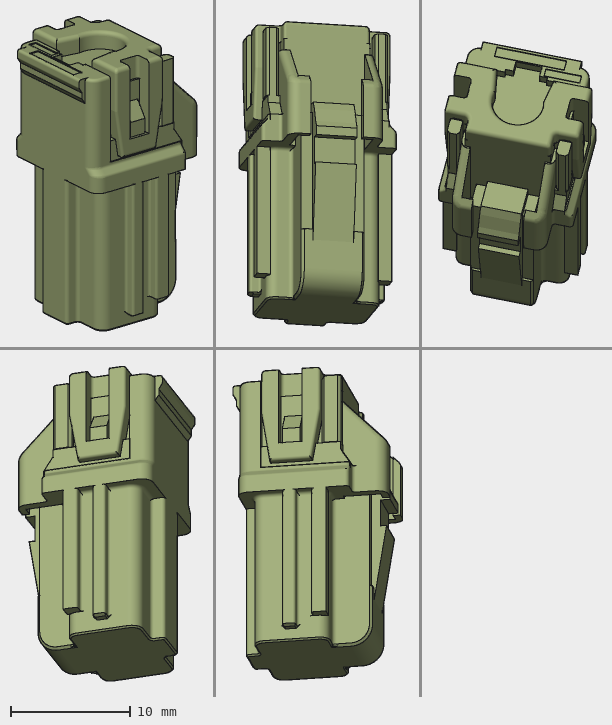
import cadquery as cq

TOTAL_HEIGHT = 23.95
COLLAR_BOTTOM = 13.12
COLLAR_TOP = 14.59
FLARE_TOP = 15.47
FLARE_FILLET = 0.29
SKIRT_BOTTOM = 15.8
SHOULDER_SLOPE_TOP = 16.7
SHOULDER_TOP = 17.35
SKIRT_TAPER_TOP = 20.12
FLOOR_TOP = 22.4
LEDGE_TOP = 23.23

COLLAR_HALF = 5.8
LEDGE_HALF = 5.22
SHOULDER_HALF = 5.1
UPPER_HALF = 4.5
LOWER_HALF = 4.85
NECK_HALF = 3.7
ARM_HALF = 2.7

LEDGE_BACK = 1.95
CAP_FRONT = 2.1
CAP_BACK = 7.14
NECK_BACK = 8.62
SHOULDER_BACK = 8.77
COLLAR_BACK = 9.58
COLLAR_REAR_FILLET = 0.3

LOWER_FRONT = 1.2
LOWER_BACK = 7.65
FRONT_CORNER = 1.0
REAR_CORNER = 0.86
BOTTOM_CHAMFER = 0.15
UNDERSIDE_FILLET = 0.3
CENTER_RIB_HALF = 1.75
RIB_BLEND = 0.3

SIDE_RIB_BLEND = 0.22
SLIM_RIB_FRONT = 3.9
SLIM_RIB_BACK = 5.03
SLIM_RIB_BOTTOM = 1.05
SLIM_RIB_TIP = 0.34
WIDE_RIB_FRONT = 6.37
WIDE_RIB_BOTTOM = 2.08

ARM_BACK = 10.97
ARM_BOTTOM_RADIUS = 1.82
ARM_EDGE_CHAMFER = 0.22
ARM_ROOT_RADIUS = 0.35
ARM_BEND_TOP = 5.27
TOOTH_HALF = 1.75
TOOTH_TIP = 12.02
TOOTH_TOP = 10.83
TOOTH_BOTTOM = 4.3
STEM_BACK = 11.52
THUMB_BACK = 12.33
THUMB_FRONT = 11.1
THUMB_EDGE_TOP = 13.9
THUMB_BEND_TOP = 14.37
THUMB_STEM_TOP = 15.57
THUMB_TOP = 16.29

GUARD_HALF = 4.07
GUARD_WALL = 0.86
GUARD_BACK = 12.43
GUARD_HOOK = 0.62
GUARD_OPENING_HALF = 2.25
GUARD_SLOPE_TOP = 21.36
GUARD_CORNER = 0.93
GUARD_SLOPE_FILLET = 0.57
GUARD_ROOT_RADIUS = 0.29

POST_INNER = 4.15
POST_CHAMFER = 0.25

CAP_EDGE_FILLET = 0.38
SKIRT_LOWER_FRONT = 2.8
SKIRT_LOWER_BACK = 6.37
SKIRT_EDGE_FILLET = 0.25
CAP_INNER_FILLET = 0.38
KEYHOLE_RADIUS = 2.15
KEYHOLE_Y = 4.85
KEYHOLE_NECK_HALF = 2.08
KEYHOLE_NECK_Y = 4.3
KEYHOLE_MOUTH_HALF = 2.45

NOTCH_FRONT = 3.57
NOTCH_BACK = 5.58
NOTCH_FLOOR_X = 4.26
NOTCH_BOTTOM = 21.91
NOTCH_CORNER = 0.29
LOCK_FRONT = 3.85
LOCK_BACK = 5.36
LOCK_TIP_X = 5.5
LOCK_SLOPE_BOTTOM = 18.68

LEDGE_EDGE_FILLET = 0.29
LIP_HALF = 4.25
LIP_FRONT = -0.62
LIP_STEP = -0.3
LIP_NOSE_FILLET = 0.25
LIP_NOSE_BOTTOM = 22.47
LIP_STEP_TOP = 21.99
LIP_STEP_BOTTOM = 21.44
LIP_BOTTOM = 20.95
LEDGE_NOTCH_HALF = 1.13
LEDGE_NOTCH_FRONT = 0.77
LEDGE_STEP_HALF = 1.8
LEDGE_STEP_FRONT = 1.68
RECESS_DEPTH = 0.1
WIDE_RECESS_HALF = 3.0
WIDE_RECESS_FRONT = -0.29
WIDE_RECESS_BACK = 0.62
SMALL_RECESS_LEFT = -4.55
SMALL_RECESS_RIGHT = -1.48
SMALL_RECESS_FRONT = 0.86
SMALL_RECESS_BACK = 1.55

PICK = 0.02
MARGIN = 0.25


def block(x0, x1, y0, y1, z0, z1):
    """Box between two opposite corners."""
    return cq.Workplane("XY").box(x1 - x0, y1 - y0, z1 - z0, centered=False).translate((x0, y0, z0))


def centered_block(half, y0, y1, z0, z1):
    """Box symmetric about X = 0."""
    return block(-half, half, y0, y1, z0, z1)


def side_profile(points, x0, x1):
    """Closed (Y, Z) outline extruded from x0 to x1."""
    return cq.Workplane("YZ", origin=(x0, 0, 0)).polyline(points).close().extrude(x1 - x0)


def both_sides(solid):
    """The solid together with its mirror image across X = 0."""
    return solid.union(solid.mirror("YZ"))


def rib_plan(start, end, base, crest, blend):
    """Closed plan of a rib that runs along Y and rises along X, with rounded crests and concave roots."""
    foot = base - blend
    return (
        cq.Workplane("XY")
        .moveTo(foot, start - blend)
        .lineTo(base, start - blend)
        .radiusArc((base + blend, start), blend)
        .lineTo(crest - blend, start)
        .radiusArc((crest, start + blend), -blend)
        .lineTo(crest, end - blend)
        .radiusArc((crest - blend, end), -blend)
        .lineTo(base + blend, end)
        .radiusArc((base, end + blend), blend)
        .lineTo(foot, end + blend)
        .close()
    )


def lower_body():
    body = centered_block(LOWER_HALF, LOWER_FRONT, LOWER_BACK, 0, COLLAR_TOP)
    body = body.edges("|Z and <Y").fillet(FRONT_CORNER)
    body = body.edges("|Z and >Y").fillet(REAR_CORNER)
    reach = UNDERSIDE_FILLET + MARGIN
    body = body.union(
        centered_block(
            LOWER_HALF + reach, LOWER_FRONT - reach, LOWER_BACK + reach, COLLAR_BOTTOM, COLLAR_TOP
        )
    )
    meeting_edges = cq.selectors.BoxSelector(
        (-LOWER_HALF - PICK, LOWER_FRONT - PICK, COLLAR_BOTTOM - PICK),
        (LOWER_HALF + PICK, LOWER_BACK + PICK, COLLAR_BOTTOM + PICK),
        boundingbox=True,
    )
    body = body.edges(meeting_edges).fillet(UNDERSIDE_FILLET)
    rib = rib_plan(-CENTER_RIB_HALF, CENTER_RIB_HALF, -LOWER_FRONT, 0, RIB_BLEND).extrude(COLLAR_TOP)
    body = body.union(rib.rotate((0, 0, 0), (0, 0, 1), -90))
    return body.faces("<Z").chamfer(BOTTOM_CHAMFER)


def side_rib_plan(front, back):
    return rib_plan(front, back, LOWER_HALF, COLLAR_HALF, SIDE_RIB_BLEND)


def slim_ribs():
    rib = side_rib_plan(SLIM_RIB_FRONT, SLIM_RIB_BACK).extrude(COLLAR_BOTTOM)
    tip_start = SLIM_RIB_BOTTOM + SLIM_RIB_TIP
    front = SLIM_RIB_FRONT - SIDE_RIB_BLEND
    back = SLIM_RIB_BACK + SIDE_RIB_BLEND
    pointed = side_profile(
        [
            (front, COLLAR_BOTTOM),
            (front, tip_start),
            (front + SLIM_RIB_TIP, SLIM_RIB_BOTTOM),
            (back - SLIM_RIB_TIP, SLIM_RIB_BOTTOM),
            (back, tip_start),
            (back, COLLAR_BOTTOM),
        ],
        0,
        COLLAR_HALF,
    )
    pointed = pointed.edges("|Y and <Z and >X").chamfer(SLIM_RIB_TIP, SLIM_RIB_TIP / 2)
    return both_sides(rib.intersect(pointed))


def wide_ribs():
    """Ribs whose backs are flush with the back of the lower body."""
    rib = side_rib_plan(WIDE_RIB_FRONT, LOWER_BACK + SIDE_RIB_BLEND).extrude(COLLAR_BOTTOM)
    kept = block(0, COLLAR_HALF, LOWER_FRONT, LOWER_BACK, WIDE_RIB_BOTTOM, COLLAR_BOTTOM)
    return both_sides(rib.intersect(kept))


def concave_root(x, y, radius, z0, z1):
    """Filler of an inner corner open toward +X and +Y, on both sides."""
    filler = block(x, x + radius, y, y + radius, z0, z1)
    round_cut = cq.Workplane("XY", origin=(x + radius, y + radius, z0)).circle(radius).extrude(z1 - z0)
    return both_sides(filler.cut(round_cut))


def latch_arm():
    bend = centered_block(ARM_HALF, LEDGE_BACK, ARM_BACK, 0, ARM_BEND_TOP)
    bend = bend.edges("|X and >Y and <Z").fillet(ARM_BOTTOM_RADIUS)
    for side in ("<X", ">X"):
        bend = bend.faces(side).edges("not >Z").edges("not <Y").chamfer(ARM_EDGE_CHAMFER)
    upper_back = ARM_BACK - ARM_EDGE_CHAMFER
    arm = bend.union(centered_block(ARM_HALF, LEDGE_BACK, upper_back, ARM_BEND_TOP, FLARE_TOP))
    tooth = side_profile(
        [
            (LEDGE_BACK, TOOTH_BOTTOM),
            (ARM_BACK, TOOTH_BOTTOM),
            (TOOTH_TIP, TOOTH_TOP),
            (STEM_BACK, TOOTH_TOP),
            (STEM_BACK, COLLAR_BOTTOM),
            (THUMB_BACK, COLLAR_BOTTOM),
            (THUMB_BACK, THUMB_EDGE_TOP),
            (TOOTH_TIP, THUMB_BEND_TOP),
            (STEM_BACK, THUMB_STEM_TOP),
            (THUMB_FRONT, THUMB_TOP),
            (LEDGE_BACK, THUMB_TOP),
        ],
        -TOOTH_HALF,
        TOOTH_HALF,
    )
    root = concave_root(ARM_HALF, LOWER_BACK, ARM_ROOT_RADIUS, 0, COLLAR_BOTTOM)
    return arm.union(tooth).union(root)


def collar_plate(half, z0, z1):
    """Plate with the rounded collar outline, of the given half width."""
    plate = centered_block(half, 0, COLLAR_BACK, z0, z1)
    plate = plate.edges("|Z and <Y").fillet(FRONT_CORNER)
    return plate.edges("|Z and >Y").fillet(COLLAR_REAR_FILLET)


def collar():
    flare_end = COLLAR_TOP + COLLAR_HALF - LEDGE_HALF
    band = collar_plate(COLLAR_HALF, COLLAR_BOTTOM, COLLAR_TOP)
    throat = collar_plate(LEDGE_HALF, flare_end, FLARE_TOP)
    flare = cq.Solid.makeLoft([band.faces(">Z").wires().val(), throat.faces("<Z").wires().val()], True)
    band = band.union(cq.Workplane(flare)).union(throat)
    for level in (COLLAR_TOP, flare_end):
        bend_edges = cq.selectors.BoxSelector(
            (-COLLAR_HALF - MARGIN, PICK, level - PICK),
            (COLLAR_HALF + MARGIN, COLLAR_BACK - PICK, level + PICK),
        )
        band = band.edges(bend_edges).fillet(FLARE_FILLET)
    shoulder = side_profile(
        [
            (LEDGE_BACK, COLLAR_TOP),
            (COLLAR_BACK, COLLAR_TOP),
            (COLLAR_BACK, FLARE_TOP),
            (SHOULDER_BACK, SHOULDER_SLOPE_TOP),
            (SHOULDER_BACK, SHOULDER_TOP),
            (LEDGE_BACK, SHOULDER_TOP),
        ],
        -SHOULDER_HALF,
        SHOULDER_HALF,
    )
    return band.union(shoulder)


def latch_guard():
    """Two hooked legs behind the body, cut off by a 45 degree slope on top."""
    slope_end = GUARD_SLOPE_TOP - (GUARD_BACK - SHOULDER_BACK)
    guard = side_profile(
        [
            (CAP_BACK, COLLAR_BOTTOM),
            (GUARD_BACK, COLLAR_BOTTOM),
            (GUARD_BACK, slope_end),
            (SHOULDER_BACK, GUARD_SLOPE_TOP),
            (CAP_BACK, GUARD_SLOPE_TOP),
        ],
        -GUARD_HALF,
        GUARD_HALF,
    )
    guard = guard.edges("|Z and >Y").fillet(GUARD_CORNER)
    guard = guard.faces("(0, 1, 1)").edges("not |X").fillet(GUARD_SLOPE_FILLET)
    root = concave_root(GUARD_HALF, COLLAR_BACK, GUARD_ROOT_RADIUS, COLLAR_BOTTOM, FLARE_TOP)
    return guard.union(root)


def guard_space():
    """Open space between the legs and the slot between their hooks."""
    inner_half = GUARD_HALF - GUARD_WALL
    space = centered_block(inner_half, NECK_BACK, GUARD_BACK - GUARD_HOOK, 0, TOTAL_HEIGHT)
    slot = centered_block(GUARD_OPENING_HALF, NECK_BACK, GUARD_BACK + MARGIN, 0, TOTAL_HEIGHT)
    return space.union(slot)


def upper_body():
    core = centered_block(UPPER_HALF, FRONT_CORNER, CAP_BACK, COLLAR_BOTTOM, FLOOR_TOP)
    neck = centered_block(NECK_HALF, FRONT_CORNER, NECK_BACK, COLLAR_BOTTOM, FLOOR_TOP)
    post = block(POST_INNER, LEDGE_HALF, CAP_BACK, SHOULDER_BACK, SHOULDER_TOP, LEDGE_TOP)
    post = post.edges("|Z").chamfer(POST_CHAMFER)
    post = post.edges(">Z and <Y").chamfer(POST_CHAMFER)
    return core.union(neck).union(both_sides(post))


def front_ledge():
    ledge = centered_block(LEDGE_HALF, 0, LEDGE_BACK, COLLAR_TOP, LEDGE_TOP)
    ledge = ledge.edges("|Z and <Y").fillet(FRONT_CORNER)
    ledge = ledge.faces(">Z").edges("not >Y").fillet(LEDGE_EDGE_FILLET)
    lip = side_profile(
        [
            (LEDGE_BACK - LEDGE_EDGE_FILLET, LEDGE_TOP),
            (LIP_FRONT, LEDGE_TOP),
            (LIP_FRONT, LIP_NOSE_BOTTOM),
            (LIP_STEP, LIP_STEP_TOP),
            (LIP_STEP, LIP_STEP_BOTTOM),
            (0, LIP_BOTTOM),
            (LEDGE_BACK - LEDGE_EDGE_FILLET, LIP_BOTTOM),
        ],
        -LIP_HALF,
        LIP_HALF,
    )
    lip = lip.edges("|X and <Y").fillet(LIP_NOSE_FILLET)
    notch = centered_block(LEDGE_NOTCH_HALF, LEDGE_NOTCH_FRONT, LEDGE_BACK, FLOOR_TOP, LEDGE_TOP)
    step = centered_block(LEDGE_STEP_HALF, LEDGE_STEP_FRONT, LEDGE_BACK, FLOOR_TOP, LEDGE_TOP)
    recess_floor = LEDGE_TOP - RECESS_DEPTH
    wide_recess = centered_block(
        WIDE_RECESS_HALF, WIDE_RECESS_FRONT, WIDE_RECESS_BACK, recess_floor, LEDGE_TOP
    )
    small_recess = block(
        SMALL_RECESS_LEFT,
        SMALL_RECESS_RIGHT,
        SMALL_RECESS_FRONT,
        SMALL_RECESS_BACK,
        recess_floor,
        LEDGE_TOP,
    )
    return ledge.union(lip).cut(notch).cut(step).cut(wide_recess).cut(small_recess)


def cap():
    outline = [
        (-COLLAR_HALF, CAP_FRONT),
        (COLLAR_HALF, CAP_FRONT),
        (COLLAR_HALF, CAP_BACK),
        (NECK_HALF, CAP_BACK),
        (NECK_HALF, NECK_BACK),
        (-NECK_HALF, NECK_BACK),
        (-NECK_HALF, CAP_BACK),
        (-COLLAR_HALF, CAP_BACK),
    ]
    slab = cq.Workplane("XY", origin=(0, 0, FLOOR_TOP)).polyline(outline).close()
    slab = slab.extrude(TOTAL_HEIGHT - FLOOR_TOP)
    slab = slab.edges("|Z and (<X or >X)").fillet(SKIRT_EDGE_FILLET)
    inner_corners = cq.selectors.BoxSelector(
        (-NECK_HALF - MARGIN, CAP_BACK - MARGIN, 0), (NECK_HALF + MARGIN, CAP_BACK + MARGIN, TOTAL_HEIGHT)
    )
    slab = slab.edges("|Z").edges(inner_corners).fillet(CAP_INNER_FILLET)
    slab = slab.edges("|Z and >Y").fillet(SKIRT_EDGE_FILLET)
    keyhole = (
        cq.Workplane("XY", origin=(0, 0, FLOOR_TOP))
        .moveTo(-KEYHOLE_MOUTH_HALF, CAP_FRONT)
        .lineTo(KEYHOLE_MOUTH_HALF, CAP_FRONT)
        .lineTo(KEYHOLE_NECK_HALF, KEYHOLE_NECK_Y)
        .threePointArc((0, KEYHOLE_Y + KEYHOLE_RADIUS), (-KEYHOLE_NECK_HALF, KEYHOLE_NECK_Y))
        .close()
        .extrude(TOTAL_HEIGHT - FLOOR_TOP)
    )
    slab = slab.cut(keyhole).faces(">Z").edges().fillet(CAP_EDGE_FILLET)
    skirt = side_profile(
        [
            (SKIRT_LOWER_FRONT, SKIRT_BOTTOM),
            (SKIRT_LOWER_BACK, SKIRT_BOTTOM),
            (CAP_BACK, SKIRT_TAPER_TOP),
            (CAP_BACK, FLOOR_TOP),
            (CAP_FRONT, FLOOR_TOP),
            (CAP_FRONT, SKIRT_TAPER_TOP),
        ],
        0,
        COLLAR_HALF,
    )
    skirt = skirt.faces(">X").edges("not >Z").fillet(SKIRT_EDGE_FILLET)
    return slab.union(both_sides(skirt))


def lock_windows():
    """Slots in both skirts with the wall behind them."""
    notch = block(NOTCH_FLOOR_X, COLLAR_HALF, NOTCH_FRONT, NOTCH_BACK, NOTCH_BOTTOM, TOTAL_HEIGHT)
    window = block(UPPER_HALF, COLLAR_HALF, NOTCH_FRONT, NOTCH_BACK, SHOULDER_TOP, NOTCH_BOTTOM)
    notch = notch.edges("|Z and <X").fillet(NOTCH_CORNER)
    return both_sides(notch.union(window))


def lock_wedges():
    wedge = (
        cq.Workplane("XZ", origin=(0, LOCK_FRONT, 0))
        .polyline(
            [
                (0, SHOULDER_TOP),
                (LOCK_TIP_X, SHOULDER_TOP),
                (LOCK_TIP_X, LOCK_SLOPE_BOTTOM),
                (UPPER_HALF, SKIRT_TAPER_TOP),
                (0, SKIRT_TAPER_TOP),
            ]
        )
        .close()
        .extrude(LOCK_FRONT - LOCK_BACK)
    )
    return both_sides(wedge)


def ledge_gaps():
    """Narrow vertical gaps between the front ledge and the cap skirts."""
    return both_sides(block(UPPER_HALF, COLLAR_HALF, LEDGE_BACK, CAP_FRONT, SHOULDER_TOP, LEDGE_TOP))


result = collar().union(upper_body()).union(latch_guard()).cut(guard_space())
result = result.union(lower_body()).union(slim_ribs()).union(wide_ribs()).union(latch_arm())
result = result.union(cap()).cut(lock_windows()).union(lock_wedges())
result = result.union(front_ledge()).cut(ledge_gaps())